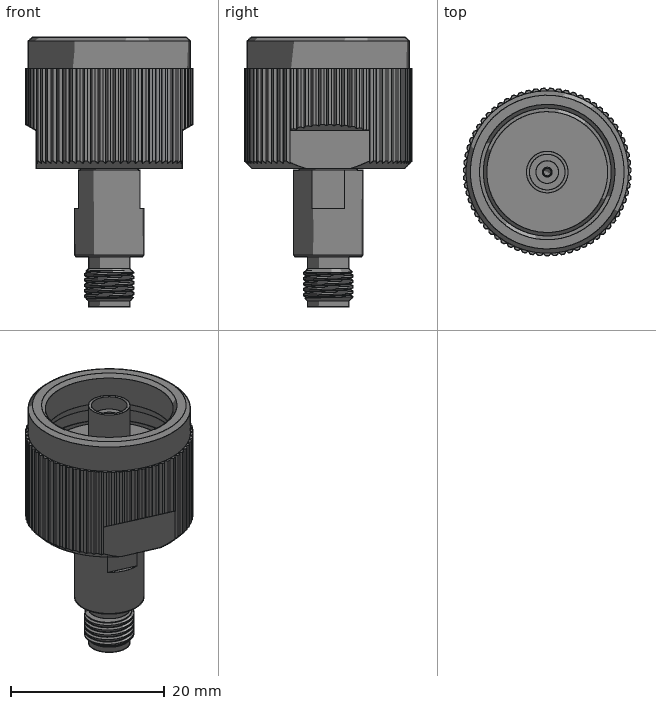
import cadquery as cq
import math

overall_height = 35.05

nut_bottom = 18.0
nut_rim_radius = 10.55
nut_rim_chamfer_width = 0.55
nut_rim_chamfer_height = 0.5
knurl_top = 31.0
knurl_outer_radius = 10.9
knurl_valley_radius = 10.6
knurl_rib_count = 67
knurl_crest_width = 0.4
nut_bottom_chamfer = 0.98
nut_flat_distance = 9.5
nut_flat_top = 22.93
nut_flat_run_out_angle = 30.0
nut_flat_cut_margin = 0.35

mouth_radius = 8.8
bore_radius = 8.3
mouth_chamfer_height = 0.5
relief_top = 30.9
relief_radius = 8.7
chamber_top = 29.87
chamber_radius = 9.22
seat_ledge = 27.95
seat_radius = 9.15
seat_bottom = 22.1

flange_top = 28.3
flange_chamfer = 1.3
tube_radius = 2.7
tube_bore_radius = 2.3
tube_bore_depth = 1.82
contact_hole_radius = 1.47
neck_radius = 3.8
barrel_top = 17.78
barrel_bottom = 6.52
barrel_radius = 4.52
barrel_chamfer = 0.2
barrel_flat_distance = 4.0
barrel_flat_bottom = 12.8
stem_radius = 2.7

thread_bottom = 0.77
thread_top = 4.98
thread_major_radius = 3.23
thread_minor_radius = 2.9
thread_pitch = 0.7
thread_root_radius = 2.85
thread_crest_width = 0.25
thread_flank_angle = 30.0
thread_start = 0.35
thread_trim_clearance = 0.07

contact_radius = 0.63
contact_top = 32.25
socket_radius = 0.5
socket_depth = 0.7


def revolved(points):
    """Solid of revolution about Z from (radius, height) points."""
    return cq.Workplane("XZ").polyline(points).close().revolve(360, (0, 0, 0), (0, 1, 0))


def cylinder(radius, bottom, top):
    return cq.Workplane("XY").workplane(offset=bottom).circle(radius).extrude(top - bottom)


def make_knurl():
    """Prism with flat-topped ribs and V-shaped valleys, one rib pointing to -Y."""
    pitch_angle = 2 * math.pi / knurl_rib_count
    half_crest_angle = math.asin(knurl_crest_width / 2 / knurl_outer_radius)
    outline = []
    for rib in range(knurl_rib_count):
        rib_angle = rib * pitch_angle - math.pi / 2
        for radius, angle in (
            (knurl_outer_radius, rib_angle - half_crest_angle),
            (knurl_outer_radius, rib_angle + half_crest_angle),
            (knurl_valley_radius, rib_angle + pitch_angle / 2),
        ):
            outline.append((radius * math.cos(angle), radius * math.sin(angle)))
    knurl = cq.Workplane("XY").workplane(offset=nut_bottom).polyline(outline).close()
    return knurl.extrude(knurl_top - nut_bottom)


def make_nut_flat_cutter():
    """Material removed from the +X side to leave a wrench flat with a sloped run-out."""
    reach = knurl_outer_radius + nut_flat_cut_margin
    run_out = (reach - nut_flat_distance) * math.tan(math.radians(nut_flat_run_out_angle))
    return (
        cq.Workplane("XZ")
        .moveTo(nut_flat_distance, nut_bottom)
        .lineTo(reach, nut_bottom)
        .lineTo(reach, nut_flat_top + run_out)
        .lineTo(nut_flat_distance, nut_flat_top)
        .close()
        .extrude(knurl_outer_radius, both=True)
    )


def make_coupling_nut():
    rim = cylinder(nut_rim_radius, knurl_top, overall_height)
    nut = make_knurl().union(rim)

    envelope = revolved([
        (0, nut_bottom),
        (knurl_outer_radius - nut_bottom_chamfer, nut_bottom),
        (knurl_outer_radius, nut_bottom + nut_bottom_chamfer),
        (knurl_outer_radius, knurl_top),
        (nut_rim_radius, knurl_top),
        (nut_rim_radius, overall_height - nut_rim_chamfer_height),
        (nut_rim_radius - nut_rim_chamfer_width, overall_height),
        (0, overall_height),
    ])
    nut = nut.intersect(envelope)

    flat_cutter = make_nut_flat_cutter()
    nut = nut.cut(flat_cutter).cut(flat_cutter.mirror("YZ"))

    bore = revolved([
        (0, nut_bottom),
        (neck_radius, nut_bottom),
        (neck_radius, seat_bottom),
        (seat_radius, seat_bottom),
        (seat_radius, seat_ledge),
        (chamber_radius, seat_ledge),
        (chamber_radius, chamber_top),
        (relief_radius, chamber_top),
        (relief_radius, relief_top),
        (bore_radius, relief_top),
        (bore_radius, overall_height - mouth_chamfer_height),
        (mouth_radius, overall_height),
        (0, overall_height),
    ])
    return nut.cut(bore)


def make_thread():
    """Right-handed helical ridge on a core, both trimmed to a sleeve with bevelled ends."""
    ridge_height = thread_top - thread_start + thread_pitch
    ridge_depth = thread_major_radius - thread_root_radius
    half_crest = thread_crest_width / 2
    half_root = half_crest + ridge_depth * math.tan(math.radians(thread_flank_angle))
    path = cq.Wire.makeHelix(thread_pitch, ridge_height, thread_minor_radius)
    ridge = (
        cq.Workplane("XZ")
        .moveTo(thread_root_radius, -half_root)
        .lineTo(thread_major_radius, -half_crest)
        .lineTo(thread_major_radius, half_crest)
        .lineTo(thread_root_radius, half_root)
        .close()
        .sweep(cq.Workplane(path), isFrenet=True)
        .translate((0, 0, thread_start))
    )

    core_bottom = thread_start - thread_pitch
    core_top = thread_start + ridge_height + thread_pitch
    core = cylinder(thread_minor_radius, core_bottom, core_top)

    bevel_radius = thread_major_radius + thread_trim_clearance
    bevel = bevel_radius - stem_radius
    sleeve = revolved([
        (0, thread_bottom),
        (stem_radius, thread_bottom),
        (bevel_radius, thread_bottom + bevel),
        (bevel_radius, thread_top - bevel),
        (stem_radius, thread_top),
        (0, thread_top),
    ])
    return core.union(ridge).intersect(sleeve)


def make_adapter_body():
    body = revolved([
        (0, 0),
        (stem_radius, 0),
        (stem_radius, barrel_bottom),
        (barrel_radius - barrel_chamfer, barrel_bottom),
        (barrel_radius, barrel_bottom + barrel_chamfer),
        (barrel_radius, barrel_top),
        (neck_radius, barrel_top),
        (neck_radius, seat_bottom),
        (seat_radius, seat_bottom),
        (seat_radius, flange_top - flange_chamfer),
        (seat_radius - flange_chamfer, flange_top),
        (tube_radius, flange_top),
        (tube_radius, overall_height),
        (0, overall_height),
    ])

    flat_depth = barrel_radius - barrel_flat_distance
    flat_height = barrel_top - barrel_flat_bottom
    for side in (1, -1):
        flat_cutter = cq.Workplane("XY").box(flat_depth, 2 * barrel_radius, flat_height).translate(
            (side * (barrel_flat_distance + flat_depth / 2), 0, barrel_flat_bottom + flat_height / 2)
        )
        body = body.cut(flat_cutter)

    body = body.cut(cylinder(tube_bore_radius, overall_height - tube_bore_depth, overall_height))
    body = body.cut(cylinder(contact_hole_radius, flange_top, overall_height))
    return body.union(make_thread())


def make_centre_contact():
    """Pin standing on the floor of the tube, with a conical socket in its tip."""
    return revolved([
        (0, flange_top),
        (contact_radius, flange_top),
        (contact_radius, contact_top),
        (socket_radius, contact_top),
        (0, contact_top - socket_depth),
    ])


coupling_nut = make_coupling_nut()
adapter_body = make_adapter_body()
centre_contact = make_centre_contact()

bodies = (coupling_nut, adapter_body, centre_contact)
result = cq.Compound.makeCompound([body.solids().val() for body in bodies])